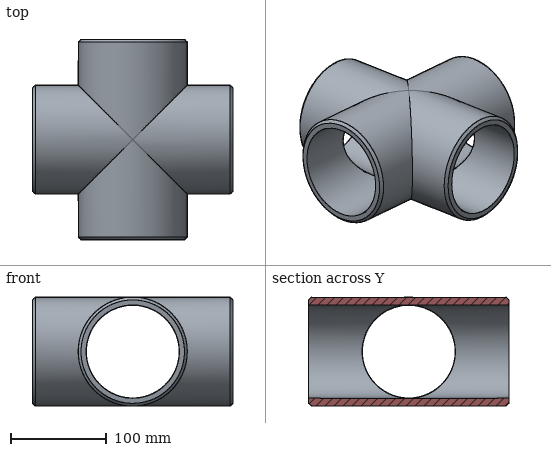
import cadquery as cq

span = 210.0
outer_diameter = 114.2
bore_diameter = 97.2
bevel = 3.0


def centred_cylinder(plane, diameter):
    """Cylinder of full span, centred on the origin along the plane normal."""
    return cq.Workplane(plane).circle(diameter / 2).extrude(span / 2, both=True)


def pipe_run(plane):
    """Solid run with both outer end edges bevelled."""
    return centred_cylinder(plane, outer_diameter).edges("%CIRCLE").chamfer(bevel)


run_planes = ("YZ", "XZ")

result = pipe_run(run_planes[0]).union(pipe_run(run_planes[1]))
for run_plane in run_planes:
    result = result.cut(centred_cylinder(run_plane, bore_diameter))